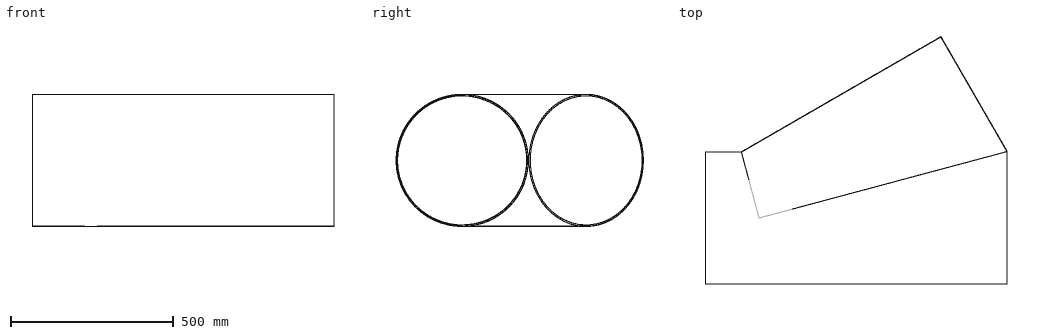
import cadquery as cq
import math

run_length = 927.0
outer_diameter = 406.0
bore_diameter = 397.0
branch_angle = 30.0
branch_length = 762.0
junction_x = run_length - branch_length

branch_direction = cq.Vector(
    math.cos(math.radians(branch_angle)),
    math.sin(math.radians(branch_angle)),
    0,
)


def joined_cylinders(diameter):
    """Run and branch cylinders of one diameter, fused together."""
    radius = diameter / 2
    run = cq.Solid.makeCylinder(radius, run_length, cq.Vector(0, 0, 0), cq.Vector(1, 0, 0))
    junction = cq.Vector(junction_x, 0, 0)
    branch = cq.Solid.makeCylinder(radius, branch_length, junction, branch_direction)
    return cq.Workplane(obj=run).union(cq.Workplane(obj=branch))


result = joined_cylinders(outer_diameter).cut(joined_cylinders(bore_diameter))